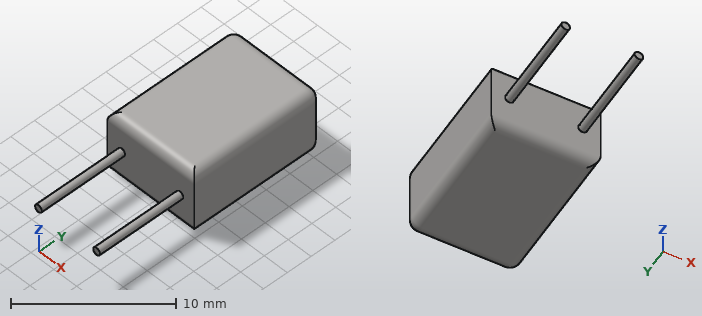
import cadquery as cq

TOTAL_LENGTH = 17.66
CASE_WIDTH = 7.61
CASE_LENGTH = 10.67
CASE_HEIGHT = 5.09
EDGE_RADIUS = 0.76
LEAD_DIAMETER = 0.6
LEAD_PITCH = 5.09

LEAD_LENGTH = TOTAL_LENGTH - CASE_LENGTH


def make_case():
    """Block with its front face at Y = 0, all edges rounded but the two upright front ones."""
    block = cq.Workplane("XY").box(
        CASE_WIDTH, CASE_LENGTH, CASE_HEIGHT, centered=(True, False, True)
    )
    return block.edges("not (|Z and <Y)").fillet(EDGE_RADIUS)


def make_lead(x):
    """Round wire that butts against the front face and points toward -Y."""
    return cq.Workplane("XZ").center(x, 0).circle(LEAD_DIAMETER / 2).extrude(LEAD_LENGTH)


case = make_case()
leads = [make_lead(side * LEAD_PITCH / 2) for side in (-1, 1)]

result = cq.Compound.makeCompound([case.val(), *[lead.val() for lead in leads]])